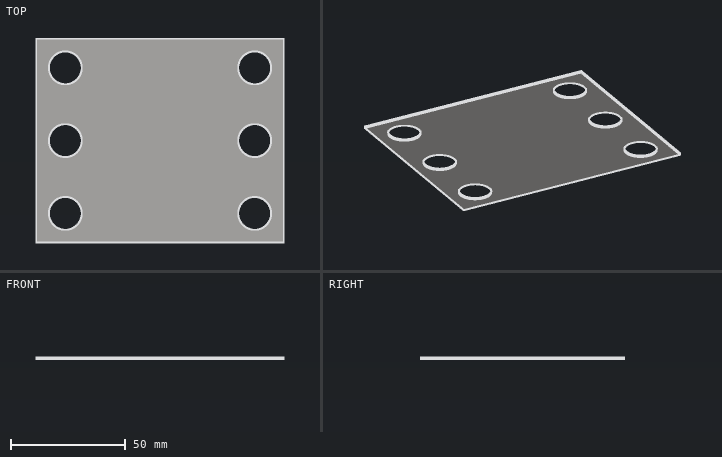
import cadquery as cq

plate_length = 108.0
plate_width = 89.0
plate_thickness = 0.81

hole_diameter = 14.2
hole_columns = 2
hole_rows = 3
column_spacing = 82.6
row_spacing = 31.7

plate = cq.Workplane("XY").box(plate_length, plate_width, plate_thickness)

result = (
    plate.faces(">Z")
    .workplane()
    .rarray(column_spacing, row_spacing, hole_columns, hole_rows)
    .hole(hole_diameter)
)